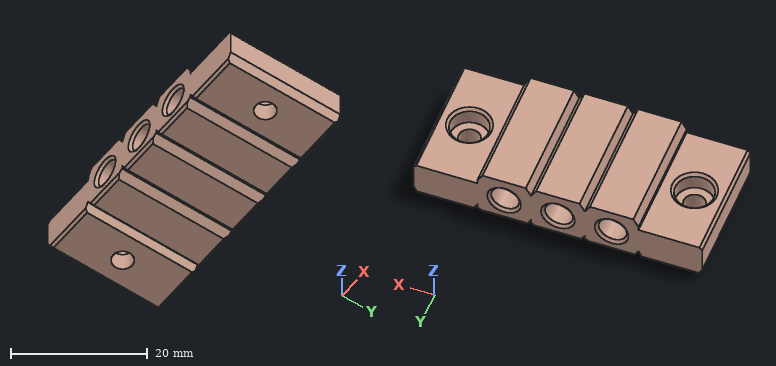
import cadquery as cq
import math

length = 45.2
width = 20.0
height = 8.4
flange_top = 6.35
edge_chamfer = 0.45

cell_count = 3
cell_pitch = height
centre_half = cell_count * cell_pitch / 2
groove_depth = 1.4
groove_half_width = groove_depth * math.tan(math.radians(30))

bore_diameter = 4.4
screw_diameter = 3.4
counterbore_diameter = 6.0
counterbore_depth = 3.0
screw_x = (length / 2 + centre_half) / 2

cell_edges = [i * cell_pitch - centre_half for i in range(cell_count + 1)]


def prism(points):
    """Extrude an XZ outline over the whole width, centred on Y."""
    return cq.Workplane("XZ").polyline(points).close().extrude(width / 2, both=True)


def body():
    """Stepped plate with its outer corners and raised shoulders bevelled."""
    right_side = [
        (length / 2 - groove_half_width, 0),
        (length / 2, groove_depth),
        (length / 2, flange_top - edge_chamfer),
        (length / 2 - edge_chamfer, flange_top),
        (centre_half, flange_top),
        (centre_half, height - groove_depth),
        (centre_half - groove_half_width, height),
    ]
    left_side = [(-x, z) for x, z in reversed(right_side)]
    plate = prism(right_side + left_side)
    return plate.faces("<Z").edges("|X").chamfer(edge_chamfer)


def top_groove(x):
    return prism([
        (x - groove_half_width, height),
        (x, height - groove_depth),
        (x + groove_half_width, height),
    ])


def bottom_groove(x):
    """Symmetric V groove."""
    return prism([(x - groove_half_width, 0), (x, groove_depth), (x + groove_half_width, 0)])


def bottom_skewed_groove(x):
    """Groove whose left wall is a shallow bevel ending in a short upright step."""
    return prism([
        (x - groove_depth, 0),
        (x, groove_half_width),
        (x, groove_depth),
        (x + groove_half_width, 0),
    ])


def flared_mouth(plane, diameter):
    """45 degree countersink, narrowing from the plane against its normal."""
    return (
        plane.circle(diameter / 2 + edge_chamfer)
        .workplane(offset=-edge_chamfer)
        .circle(diameter / 2)
        .loft()
    )


def cross_bore(x):
    """Bore through the width, countersunk at both ends."""
    front = cq.Workplane("XZ", origin=(x, -width / 2, height / 2))
    back = cq.Workplane("XZ", origin=(x, width / 2, height / 2)).transformed(rotate=(180, 0, 0))
    bore = front.circle(bore_diameter / 2).extrude(-width)
    return bore.union(flared_mouth(front, bore_diameter)).union(flared_mouth(back, bore_diameter))


def screw_hole(x):
    """Vertical through hole with a countersunk counterbore in the flange top."""
    top = cq.Workplane("XY", origin=(x, 0, flange_top))
    hole = top.circle(screw_diameter / 2).extrude(-flange_top)
    counterbore = top.circle(counterbore_diameter / 2).extrude(-counterbore_depth)
    return hole.union(counterbore).union(flared_mouth(top, counterbore_diameter))


result = body()

for edge_x in cell_edges[1:-1]:
    result = result.cut(top_groove(edge_x))

result = result.cut(bottom_groove(cell_edges[0]))
for edge_x in cell_edges[1:]:
    result = result.cut(bottom_skewed_groove(edge_x))

for edge_x in cell_edges[:-1]:
    result = result.cut(cross_bore(edge_x + cell_pitch / 2))

for hole_x in (-screw_x, screw_x):
    result = result.cut(screw_hole(hole_x))